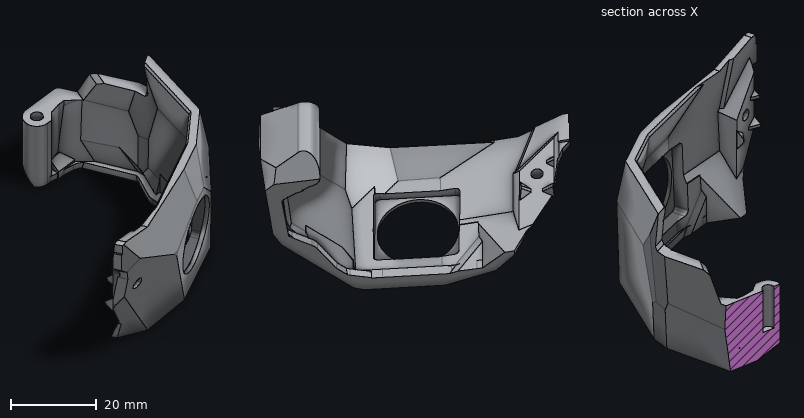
import cadquery as cq
import math


LENGTH_X = 64.31
DEPTH_Y = 56.73
HEIGHT_Z = 42.2
MARGIN = 5.0
REACH = 200.0

RIM_Z = 38.15
RIM_BEVEL = 0.65
BEVEL_TILT = 0.7
SHOULDER_Z = 27.3
BOSS_TOP_Z = 19.57

BOSS_RADIUS = 3.43
BOSS_CENTER = (BOSS_RADIUS, 37.5)
BOSS_HOLE_D = 3.0
ARM_START_Y = 38.9
ARM_INNER_EDGE = [(5.0, 40.9), (4.42, 44.0), (4.42, 45.7), (7.7, 49.2)]
ARM_ROOT_X = 9.0
ARM_RAMP_START_Y = 40.5
ARM_RAMP_END_Y = 46.0
ARM_RAMP_PROFILE = [(2.0, 0.0), (2.0, 4.5), (4.8, 4.5), (7.6, 2.35), (7.6, 0.0)]
BOSS_HOLE_DEPTH = 12.0
TAB_HOLE_D = 2.8
WINDOW_D = 19.0

LEFT_CORNER = ((0.685, -0.720, 0.115), -27.80)
LEFT_UPPER = ((0.389, -0.917, -0.092), -43.66)
LEFT_LOWER = ((0.388, -0.914, 0.118), -39.39)
BEND_UPPER = ((0.091, -0.996, -0.013), -51.68)
BEND_LOWER = ((0.074, -0.992, 0.100), -50.31)
BACK_UPPER = ((-0.248, -0.958, -0.143), -61.95)
BACK_LOWER = ((-0.254, -0.965, 0.070), -57.05)
BACK_FOOT = ((-0.245, -0.930, 0.276), -53.80)
CORNER = ((-0.767, -0.616, -0.178), -68.53)
WINDOW_UPPER = ((-0.886, -0.401, -0.233), -67.70)
WINDOW = ((-0.913, -0.406, 0.044), -61.16)
RIGHT = ((-0.967, -0.250, 0.039), -59.52)

OUT_BLOCK_CORNER = ((0.659, -0.753, 0.0), -35.84)
OUT_LEFT_UPPER = ((0.420, -0.907, -0.050), -44.50)
OUT_LEFT_LOWER = ((0.400, -0.909, 0.118), -42.50)
OUT_BEND_UPPER = ((0.091, -0.996, -0.013), -54.70)
OUT_BEND_LOWER = ((0.074, -0.992, 0.100), -53.40)
OUT_BACK_UPPER = ((-0.248, -0.958, -0.143), -64.75)
OUT_BACK_LOWER = ((-0.254, -0.965, 0.070), -59.80)
OUT_CORNER_UPPER = ((-0.767, -0.616, -0.178), -71.05)
OUT_CORNER = ((-0.690, -0.725, 0.0), -68.60)
OUT_WINDOW_UPPER = ((-0.886, -0.401, -0.233), -70.25)
OUT_WINDOW = ((-0.913, -0.406, 0.044), -64.40)
OUT_RIGHT_UPPER = ((-0.921, -0.323, -0.220), -69.06)
OUT_RIGHT_MIDDLE = ((-0.964, -0.267, 0.0), -65.30)
OUT_RIGHT_END = ((-0.986, -0.164, 0.0), -65.05)
OUT_RIGHT_LOWER = ((-0.977, -0.050, 0.175), -57.25)
OUT_RIGHT_TOE = ((-0.818, 0.409, 0.406), -40.28)

FLARE = ((-0.895, -0.231, 0.379), -49.52)
FLARE_TOP_Z = 16.6
BAY_SIDE = ((-0.935, 0.354, 0.0), -44.78)
BAY_FOOT = ((-0.978, -0.021, 0.208), -52.83)
BAY_LIP = ((-0.954, -0.298, 0.0), -58.44)
BAY_TOP_Z = 14.1

TAB_RISE = ((-0.967, -0.250, 0.039), -58.85)
TAB_FACE = ((-0.908, -0.419, 0.0), -55.30)
TAB_STEP = ((-0.766, 0.643, 0.008), -36.50)
TAB_END_Y = 2.7
TAB_HOLE_Y = 6.25
TAB_HOLE_Z = 24.1
TAB_MIN_X = 50.0
TAB_MAX_Y = 14.0
INSIDE_TAB = (62.0, 5.0, 25.0)
RISE_HEAD = (9.1, 39.4)
RISE_FOOT = (13.3, 26.4)
RISE_TIP_Z = 34.4
BEVEL_LOW_START = (9.3, 26.0)
BEVEL_LOW_END = (TAB_END_Y, 34.2)
BEVEL_HIGH_START = (11.9, 27.8)
GUSSET_RIDGE = 0.8
GUSSET_SINK = 0.2
GUSSETS = [
    (19.4, 7.5, 10.0, 2.9, (55.1, 8.8)),
    (19.4, 5.1, TAB_END_Y, 2.1, (58.0, 2.0)),
    (27.4, 4.3, TAB_END_Y, 1.8, (58.5, 2.0)),
]

CHAMFER_MEETING = (0, 43.4, 3.0)
CHAMFER_FLOOR_END = (1.98, 45.06, 0)
CHAMFER_FRONT = (0, 37.7, 5.2)
CHAMFER_REAR = (0, 47.5, 6.9)
INSIDE_BOSS = (5.0, 43.0, 15.0)

ABOVE_Z = HEIGHT_Z + MARGIN
BEYOND_LEFT_X = -70.0
LEFT_TRIM_MIN_Y = 38.0
LEFT_END = [
    (3.95, 50.35, BOSS_TOP_Z), (6.4, 51.5, 26.4), (8.05, 52.3, SHOULDER_Z), (8.05, 52.3, ABOVE_Z),
    (BEYOND_LEFT_X, 52.3, ABOVE_Z), (BEYOND_LEFT_X, 52.3, BOSS_TOP_Z),
]
LEFT_END_RUN = (3.1, -1.2, 0)
RIM_NOTCH = [
    (BEYOND_LEFT_X, 56.2, SHOULDER_Z), (21.6, 56.2, SHOULDER_Z), (22.4, 56.2, 28.3),
    (21.35, 56.2, RIM_Z), (20.9, 56.2, ABOVE_Z), (BEYOND_LEFT_X, 56.2, ABOVE_Z),
]
RIM_NOTCH_RUN = (1.1, -2.1, 0)
BEYOND_BACK_Y = 2 * DEPTH_Y
RIGHT_END = [
    (60.3, BEYOND_BACK_Y, RIM_Z), (60.3, 12.6, RIM_Z), (61.5, 1.55, HEIGHT_Z),
    (62.3, 0.24, HEIGHT_Z), (62.3, 0.24, 39.6), (62.4, 0, 39.4), (62.4, 0, 34.4),
    (61.5, 1.55, 32.45), (61.2, 2.6, 29.3), (59.6, 2.7, 19.4), (59.2, 3.4, 15.05),
    (57.0, 8.4, 7.4), (53.8, 9.9, 0), (53.8, BEYOND_BACK_Y, 0),
]
RIGHT_END_RUN = (2.1, 1.0, 0)

PAD_HEIGHT = 0.96
PAD_Y = 44.0
RECESS_FLOOR = (WINDOW[0], -63.30)
RECESS_SIZE = 20.2
RECESS_RADIUS = 1.2
RECESS_REACH = 6.0
WINDOW_Y = 36.0
WINDOW_Z = 15.5

LIP_BACK_Z = 1.79
LIP_RIGHT_Z = 2.35
LIP_RADIUS = 4.0
PICK_SIZE = 0.1
LIP_BACK_EDGE = [
    (6.8, 38.0), (8.5, 47.1), (21.0, 52.8), (28.6, 49.0), (41.3, 49.0), (45.8, 43.8),
]
LIP_BACK_OUTSIDE = [(52.0, 44.0), (45.0, DEPTH_Y), (0, DEPTH_Y), (0, 38.0)]
LIP_RIGHT_EDGE = [(47.0, 41.5), (53.9, 26.0), (54.1, 23.1), (55.2, 19.3)]
LIP_RIGHT_OUTSIDE = [(58.0, 19.3), (58.0, 40.0), (51.0, 48.0), (45.0, 46.0)]

RELIEF_TOP_Z = 7.55
RELIEF_LEFT_X = 29.2
RELIEF_OUTLINE = [
    (RELIEF_LEFT_X, LIP_BACK_Z),
    (RELIEF_LEFT_X, RELIEF_TOP_Z),
    (41.0, RELIEF_TOP_Z),
    (44.4, 5.6),
    (44.7, LIP_BACK_Z),
]
RELIEF = ((-0.254, -0.965, 0.0), -57.58)
UNDERCUT = ((0.400, -0.910, -0.070), -40.60)
UNDERCUT_TOP_Z = 8.75
UNDERCUT_LEFT_X = 8.0
UNDERCUT_FRONT_Y = 45.0
UNDERCUT_PEAK = (16.75, 51.30, UNDERCUT_TOP_Z)
UNDERCUT_HEEL = (20.90, 53.60, LIP_BACK_Z)
UNDERCUT_BEND = (21.10, 52.70, 4.60)
UNDERCUT_TIP = (28.40, 50.90, LIP_BACK_Z)
UNDERCUT_BACK = (23.30, 54.20, LIP_BACK_Z)
INSIDE_UNDERCUT = (12.0, 45.0, 2.0)
FOOT_LEFT_X = 22.0
BACK_WALL_Y = 46.0


def dot(a, b):
    return sum(i * j for i, j in zip(a, b))


def minus(a, b):
    return tuple(i - j for i, j in zip(a, b))


def cross(a, b):
    return (
        a[1] * b[2] - a[2] * b[1],
        a[2] * b[0] - a[0] * b[2],
        a[0] * b[1] - a[1] * b[0],
    )


def flipped(panel):
    normal, offset = panel
    return tuple(-c for c in normal), -offset


def shifted(panel, distance):
    """The panel moved along its own normal."""
    normal, offset = panel
    return normal, offset + distance * math.sqrt(dot(normal, normal))


def panel_through(a, b, c, inside):
    """Plane through three points, its normal pointing to the side of `inside`."""
    normal = cross(minus(b, a), minus(c, a))
    panel = (normal, dot(normal, a))
    if dot(normal, inside) < dot(normal, a):
        panel = flipped(panel)
    return panel


def half_space(panel):
    """Large block on the side the panel's normal points to."""
    normal, offset = panel
    foot = tuple(c * offset / dot(normal, normal) for c in normal)
    return cq.Workplane(cq.Plane(origin=foot, normal=normal)).rect(REACH, REACH).extrude(REACH)


def box_between(x, y, z):
    size = (x[1] - x[0], y[1] - y[0], z[1] - z[0])
    return cq.Workplane("XY").box(*size, centered=False).translate((x[0], y[0], z[0]))


def bounded(start, panels):
    """Part of `start` on the inner side of every panel."""
    body = start
    for panel in panels:
        body = body.intersect(half_space(panel))
    return body


def part_box(z0=0.0, z1=HEIGHT_Z):
    return box_between((0, LENGTH_X), (0, DEPTH_Y), (z0, z1))


def roomy_box(z0=-MARGIN, z1=HEIGHT_Z + MARGIN):
    return box_between((-MARGIN, LENGTH_X + MARGIN), (-MARGIN, DEPTH_Y + MARGIN), (z0, z1))


def swept_prism(points, direction, reach):
    """Prism whose side edges run along `direction` through the given points.

    `reach` is the axis (0 = X, 1 = Y) that the ends are square to, and their two places on it.
    """
    axis, start, end = reach
    wires = []
    for place in (start, end):
        ring = []
        for point in points:
            travel = (place - point[axis]) / direction[axis]
            ring.append(cq.Vector(*(p + travel * d for p, d in zip(point, direction))))
        wires.append(cq.Wire.makePolygon(ring, close=True))
    return cq.Workplane(obj=cq.Solid.makeLoft(wires, True))


def on_panel(panel, y, z):
    """Point of the panel at a given Y and Z."""
    normal, offset = panel
    return (offset - normal[1] * y - normal[2] * z) / normal[0], y, z


def facet_solid(points, faces):
    """Small solid from its corner points and its flat faces, given as corner numbers."""
    built = []
    for face in faces:
        wire = cq.Wire.makePolygon([cq.Vector(*points[i]) for i in face], close=True)
        built.append(cq.Face.makeFromWires(wire))
    return cq.Workplane(obj=cq.Solid.makeSolid(cq.Shell.makeShell(built)))


def outer_body():
    """Block bounded by all the outer facets."""
    return bounded(
        part_box(),
        [
            OUT_BLOCK_CORNER, OUT_LEFT_UPPER, OUT_LEFT_LOWER, OUT_BEND_UPPER, OUT_BEND_LOWER,
            OUT_BACK_UPPER, OUT_BACK_LOWER, OUT_CORNER_UPPER, OUT_CORNER, OUT_WINDOW_UPPER,
            OUT_WINDOW, OUT_RIGHT_UPPER, OUT_RIGHT_MIDDLE, OUT_RIGHT_END, OUT_RIGHT_LOWER,
            OUT_RIGHT_TOE,
        ],
    )


def hollow():
    """Space inside the cover, bounded by the inner panels."""
    return bounded(
        roomy_box(),
        [
            LEFT_CORNER, LEFT_UPPER, LEFT_LOWER, BEND_UPPER, BEND_LOWER, BACK_UPPER,
            BACK_LOWER, CORNER, WINDOW_UPPER, WINDOW, RIGHT,
        ],
    )


def flare():
    """Skirt leaning inwards below the right panel, undercut by a bay."""
    skirt = bounded(roomy_box(z1=FLARE_TOP_Z), [flipped(FLARE)])
    bay = bounded(roomy_box(z1=BAY_TOP_Z), [BAY_SIDE])
    return skirt.cut(bay)


def window_pad():
    """Raised frame: an upright strip left of the recess and a low band below it."""
    strip = box_between((0, LENGTH_X), (PAD_Y, DEPTH_Y), (0, HEIGHT_Z))
    band = part_box(z1=BAY_TOP_Z)
    window_side = bounded(strip.union(band), [flipped(shifted(WINDOW, PAD_HEIGHT))])
    right_side = bounded(band, [flipped(shifted(RIGHT, PAD_HEIGHT)), BAY_SIDE])
    bay_foot = bounded(band, [flipped(BAY_FOOT), flipped(BAY_LIP), BAY_SIDE])
    return window_side.union(right_side).union(bay_foot)


def tab_pad():
    """Thick pad that carries the screw hole, with a bevel up to the raised area above it."""
    lower_start = on_panel(TAB_FACE, *BEVEL_LOW_START)
    lower_end = on_panel(TAB_FACE, *BEVEL_LOW_END)
    upper_start = on_panel(TAB_RISE, *BEVEL_HIGH_START)
    bevel = panel_through(lower_start, lower_end, upper_start, INSIDE_TAB)
    block = box_between((TAB_MIN_X, LENGTH_X), (TAB_END_Y, TAB_MAX_Y), (0, HEIGHT_Z))
    return bounded(block, [flipped(TAB_FACE), flipped(TAB_STEP), bevel])


def back_foot():
    """Small sloping wedge at the bottom of the back panel."""
    block = box_between((FOOT_LEFT_X, RELIEF_LEFT_X), (BACK_WALL_Y, DEPTH_Y), (0, HEIGHT_Z))
    return bounded(block, [flipped(BACK_FOOT)])


def left_undercut():
    """Relief under the left panels, open to the hollow."""
    side = panel_through(UNDERCUT_PEAK, UNDERCUT_HEEL, UNDERCUT_BEND, INSIDE_UNDERCUT)
    right = panel_through(UNDERCUT_BEND, UNDERCUT_TIP, UNDERCUT_BACK, INSIDE_UNDERCUT)
    block = box_between(
        (UNDERCUT_LEFT_X, RELIEF_LEFT_X),
        (UNDERCUT_FRONT_Y, DEPTH_Y),
        (LIP_BACK_Z, UNDERCUT_TOP_Z),
    )
    return bounded(block, [LEFT_CORNER, UNDERCUT, right, side])


def back_relief():
    """Shallow upright relief at the bottom of the back panel."""
    points = [(x, DEPTH_Y, z) for x, z in RELIEF_OUTLINE]
    prism = swept_prism(points, (0, 1, 0), (1, BACK_WALL_Y, DEPTH_Y))
    return bounded(prism, [RELIEF])


def rim_bevel():
    """Narrow bevel along the inner edge of the upper rim."""
    bottom = RIM_Z - RIM_BEVEL
    slab = roomy_box(bottom, RIM_Z)
    tilted = []
    for normal, offset in (BACK_UPPER, CORNER, WINDOW_UPPER):
        level_offset = offset - normal[2] * bottom
        tilted.append(((normal[0], normal[1], BEVEL_TILT), level_offset + BEVEL_TILT * bottom))
    return bounded(slab, tilted + [RIGHT])


def tab_rise():
    """Low raised area above the tab pad, with a sloping step on its inner side."""
    outline = [
        (RISE_HEAD[0], ABOVE_Z), RISE_HEAD, RISE_FOOT, BEVEL_LOW_START, BEVEL_LOW_END,
        (TAB_END_Y, RISE_TIP_Z), (-MARGIN, RISE_TIP_Z), (-MARGIN, ABOVE_Z),
    ]
    prism = swept_prism([(0, y, z) for y, z in outline], (1, 0, 0), (0, TAB_MIN_X, LENGTH_X))
    step = panel_through(
        on_panel(RIGHT, *RISE_FOOT),
        on_panel(RIGHT, *RISE_HEAD),
        on_panel(TAB_RISE, *BEVEL_HIGH_START),
        INSIDE_TAB,
    )
    return bounded(prism, [flipped(TAB_RISE), step])


def lip(outline, height, round_corners):
    """Plate along the bottom edge; its free edge is rounded at `round_corners`."""
    plate = cq.Workplane("XY").polyline(outline).close().extrude(height)
    for x, y in round_corners:
        low = (x - PICK_SIZE, y - PICK_SIZE, -PICK_SIZE)
        high = (x + PICK_SIZE, y + PICK_SIZE, height + PICK_SIZE)
        plate = plate.edges("|Z").edges(cq.selectors.BoxSelector(low, high)).fillet(LIP_RADIUS)
    return plate


def bottom_lip():
    """Thin lip along the bottom, a little higher on the right-hand side."""
    back_corners = LIP_BACK_EDGE[1:-1]
    right_corners = LIP_RIGHT_EDGE[1:-1]
    back = lip(LIP_BACK_EDGE + LIP_BACK_OUTSIDE, LIP_BACK_Z, back_corners)
    right = lip(LIP_RIGHT_EDGE + LIP_RIGHT_OUTSIDE, LIP_RIGHT_Z, right_corners)
    return back.union(right)


def boss():
    """Pivot boss with its arm to the left end of the shell."""
    cx, cy = BOSS_CENTER
    block = (
        cq.Workplane("XY")
        .moveTo(0, cy)
        .threePointArc((cx, cy - BOSS_RADIUS), (2 * cx, cy))
        .lineTo(2 * cx, ARM_START_Y)
    )
    for point in ARM_INNER_EDGE:
        block = block.lineTo(*point)
    block = block.lineTo(ARM_ROOT_X, DEPTH_Y).lineTo(0, DEPTH_Y).close().extrude(BOSS_TOP_Z)
    ramp_start = cq.Workplane("XZ", origin=(0, ARM_RAMP_END_Y, 0))
    ramp = ramp_start.polyline(ARM_RAMP_PROFILE).close().extrude(ARM_RAMP_END_Y - ARM_RAMP_START_Y)
    return block.union(ramp)


def boss_chamfers(body):
    """Two sloping cuts under the boss, meeting in an edge that runs inwards from the left face."""
    for corner in (CHAMFER_FRONT, CHAMFER_REAR):
        panel = panel_through(CHAMFER_MEETING, CHAMFER_FLOOR_END, corner, INSIDE_BOSS)
        body = body.intersect(half_space(panel))
    return body


def boss_hole():
    """Blind pivot hole, open at the top of the boss."""
    hole_floor = BOSS_TOP_Z - BOSS_HOLE_DEPTH
    axis = cq.Workplane("XY", origin=(*BOSS_CENTER, hole_floor))
    return axis.circle(BOSS_HOLE_D / 2).extrude(BOSS_HOLE_DEPTH)


def end_trims(body):
    """Cut the shell to its stepped left end and its tapered right end."""
    left_reach = (1, LEFT_TRIM_MIN_Y, DEPTH_Y + MARGIN)
    right_reach = (0, -MARGIN, LENGTH_X + MARGIN)
    body = body.cut(swept_prism(LEFT_END, LEFT_END_RUN, left_reach))
    body = body.cut(swept_prism(RIM_NOTCH, RIM_NOTCH_RUN, left_reach))
    return body.intersect(swept_prism(RIGHT_END, RIGHT_END_RUN, right_reach))


def window_frame():
    """Workplane on the recess floor at the centre of the window, facing the hollow."""
    normal = RECESS_FLOOR[0]
    center = on_panel(RECESS_FLOOR, WINDOW_Y, WINDOW_Z)
    return cq.Workplane(cq.Plane(origin=center, xDir=(-normal[1], normal[0], 0), normal=normal))


def window_cut():
    """Square recess with a round through window in its floor."""
    outline = cq.Sketch().rect(RECESS_SIZE, RECESS_SIZE).vertices().fillet(RECESS_RADIUS)
    recess = window_frame().placeSketch(outline).extrude(RECESS_REACH)
    opening = window_frame().circle(WINDOW_D / 2).extrude(RECESS_REACH, both=True)
    return recess.union(opening)


def tab_hole():
    """Screw hole square through the tab."""
    center = on_panel(TAB_FACE, TAB_HOLE_Y, TAB_HOLE_Z)
    plane = cq.Plane(origin=center, normal=TAB_FACE[0])
    return cq.Workplane(plane).circle(TAB_HOLE_D / 2).extrude(2 * MARGIN, both=True)


def gusset(ridge_z, apex_y, foot_y, foot_half, tip):
    """Tapered ridge on the tab face, from a flush apex to a proud tip."""
    sunk = shifted(TAB_FACE, -GUSSET_SINK)
    points = []
    for sign in (-1, 1):
        ridge = ridge_z + sign * GUSSET_RIDGE / 2
        foot = ridge_z + sign * foot_half
        points.append(on_panel(TAB_FACE, apex_y, ridge))
        points.append((tip[0], tip[1], ridge))
        points.append(on_panel(sunk, foot_y, foot))
    faces = [(0, 1, 2), (3, 5, 4), (0, 3, 4, 1), (1, 4, 5, 2), (0, 2, 5, 3)]
    return facet_solid(points, faces)


def assemble():
    """Shell with its pads, trimmed ends, lip, boss and holes."""
    solid_parts = flare().union(window_pad()).union(tab_pad()).union(tab_rise()).union(back_foot())
    outer = outer_body()
    body = outer.cut(hollow().cut(solid_parts))
    body = body.cut(left_undercut()).cut(back_relief()).cut(rim_bevel().cut(tab_rise()))
    body = end_trims(body)
    body = body.union(bottom_lip().intersect(outer)).union(boss().intersect(outer))
    body = boss_chamfers(body)
    body = body.cut(window_cut()).cut(tab_hole())
    for ridge in GUSSETS:
        body = body.union(gusset(*ridge))
    return body.cut(boss_hole())


result = assemble()